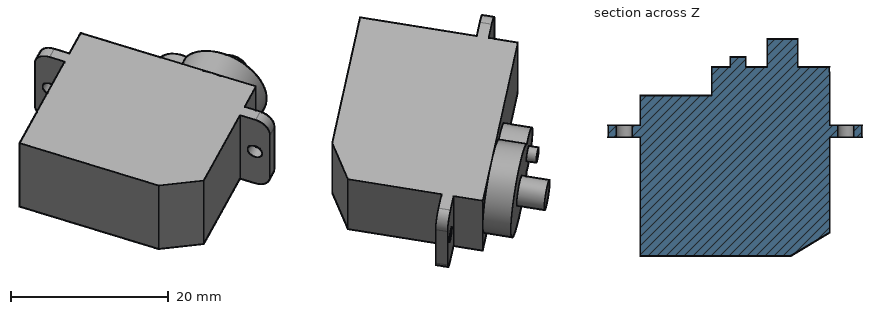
import cadquery as cq

case_length = 24.02
case_depth = 20.35
thickness = 12.0
chamfer_length = 4.95
chamfer_depth = 2.95

ear_span = 32.2
ear_base = 15.05
ear_depth = 1.55
ear_corner_radius = 2.0
hole_diameter = 2.0
hole_edge_distance = 2.05

total_depth = 27.5
housing_depth = 3.6
large_radius = thickness / 2
large_x = case_length / 2 - large_radius
small_radius = 3.35
gear_spacing = 5.65
small_x = large_x - gear_spacing
shaft_diameter = 3.9
pin_diameter = 2.0
pin_height = 1.25
housing_top = case_depth + housing_depth
shaft_height = total_depth - housing_top


def cylinder_along_y(x, base, radius, height):
    """Cylinder rising in +Y from the given base, centred at Z = 0."""
    axis_direction = cq.Vector(0, 1, 0)
    return cq.Workplane(cq.Solid.makeCylinder(radius, height, cq.Vector(x, base, 0), axis_direction))


def make_case():
    """Rectangular case with one sloping lower corner."""
    half = case_length / 2
    outline = [
        (-half, 0),
        (half - chamfer_length, 0),
        (half, chamfer_depth),
        (half, case_depth),
        (-half, case_depth),
    ]
    return cq.Workplane("XY").polyline(outline).close().extrude(thickness / 2, both=True)


def make_ear_plate():
    """Rounded plate through the case, with a screw hole near each end."""
    plate = (
        cq.Workplane("XY")
        .box(ear_span, ear_depth, thickness)
        .edges("|Y")
        .fillet(ear_corner_radius)
        .translate((0, ear_base + ear_depth / 2, 0))
    )
    hole_x = ear_span / 2 - hole_edge_distance
    for x in (-hole_x, hole_x):
        plate = plate.cut(cylinder_along_y(x, ear_base, hole_diameter / 2, ear_depth))
    return plate


def make_gear_housing():
    """Two overlapping round bosses carrying the output shaft and the pin."""
    large_boss = cylinder_along_y(large_x, case_depth, large_radius, housing_depth)
    small_boss = cylinder_along_y(small_x, case_depth, small_radius, housing_depth)
    shaft = cylinder_along_y(large_x, housing_top, shaft_diameter / 2, shaft_height)
    pin = cylinder_along_y(small_x, housing_top, pin_diameter / 2, pin_height)
    return large_boss.union(small_boss).union(shaft).union(pin)


result = make_case().union(make_ear_plate()).union(make_gear_housing())